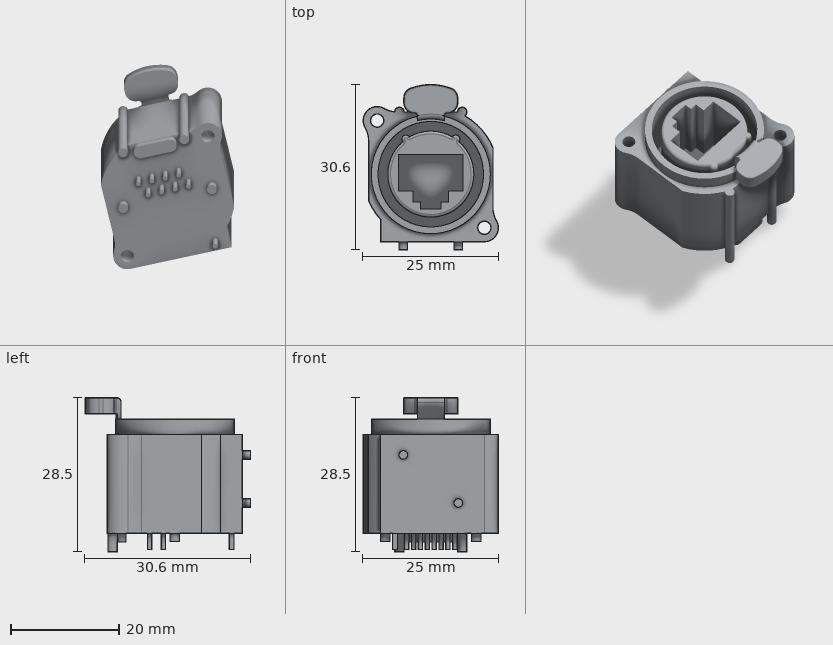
import cadquery as cq
import math


BODY_HEIGHT = 18.3
HALF_WIDTH = 11.5
BACK_Y = 11.5
FRONT_Y = -12.5
CORNER_RADIUS = 12.5
STEP_X = -9.25
EAR_RADIUS = 2.6
EAR_OFFSET = CORNER_RADIUS - EAR_RADIUS
EAR_BLEND_RADIUS = 5.0
SCREW_HOLE_DIAMETER = 2.4

COLLAR_HEIGHT = 2.8
COLLAR_RADIUS = 11.0
COLLAR_BORE_RADIUS = 9.75
COLLAR_TOP = BODY_HEIGHT + COLLAR_HEIGHT
GUIDE_RADIUS = 7.95
GUIDE_RECESS = 0.2
GUIDE_TOP = COLLAR_TOP - GUIDE_RECESS
GUIDE_EDGE_RADIUS = 0.5
GROOVE_DEPTH = 13.0
GROOVE_FLOOR = COLLAR_TOP - GROOVE_DEPTH
KEY_RADIUS = 0.75
KEY_ANGLES = (54.5, 125.5)

SOCKET_TOP_Y = 3.65
SOCKET_STEPS = ((5.94, -3.15), (3.28, -5.1), (1.91, -6.48))
SOCKET_DEPTH = 14.0

LATCH_RISE = 4.0
LATCH_TOP = COLLAR_TOP + LATCH_RISE
LATCH_THICKNESS = 3.0
LATCH_HALF_WIDTH = 5.0
LATCH_END_Y = 16.58
LATCH_END_RADIUS = 10.3
LATCH_CORNER_RADIUS = 1.97
LATCH_LOWER_CORNER_Y = 13.23
LATCH_EDGE_RADIUS = 0.2
STEM_HALF_WIDTH = 2.5
STEM_INNER_RADIUS = 10.2
STEM_OUTER_RADIUS = 10.9
STEM_BEND_RADIUS = 0.9
FILLET_MARGIN = 0.01

FRONT_PEG_DIAMETER = 1.6
FRONT_PEG_LENGTH = 1.5
FRONT_PEGS = ((-5.08, 14.5), (5.08, 5.62))
LOCATING_PEG_DIAMETER = 1.8
LOCATING_PEG_LENGTH = 1.5
LOCATING_PEG_X = 8.4
POST_DIAMETER = 1.75
POST_LENGTH = 3.4
POST_X = 5.8
POST_Y = BACK_Y
CONTACT_COUNT = 8
CONTACT_PITCH = 1.27
CONTACT_DIAMETER = 0.84
CONTACT_LENGTH = 3.0
CONTACT_ROWS_Y = (2.11, 4.65)
GROUND_PIN_DIAMETER = 0.95
GROUND_PIN_POSITION = (-6.63, -10.5)
PAD_LENGTH = 8.1
PAD_WIDTH = 2.4
PAD_HEIGHT = 1.6
PAD_Y = 10.2


def on_circle(radius, x):
    """Positive y of the circle about the mating axis at the given x."""
    return math.sqrt(radius**2 - x**2)


def point_at(center, radius, angle):
    """Point on a circle at an angle in degrees from +X."""
    turn = math.radians(angle)
    return (center[0] + radius * math.cos(turn), center[1] + radius * math.sin(turn))


def cylinder(x, y, bottom, top, diameter):
    """Upright cylinder between two heights."""
    return cq.Workplane("XY", origin=(x, y, bottom)).circle(diameter / 2).extrude(top - bottom)


def make_housing():
    """Round-cornered block with a screw ear at two opposite corners."""
    centers = EAR_RADIUS + EAR_BLEND_RADIUS
    across = HALF_WIDTH + EAR_BLEND_RADIUS - EAR_OFFSET
    blend_start = EAR_OFFSET - math.sqrt(centers**2 - across**2)
    blend_angle = math.degrees(math.asin((EAR_OFFSET - blend_start) / centers))

    ear = (-EAR_OFFSET, EAR_OFFSET)
    side_center = (-HALF_WIDTH - EAR_BLEND_RADIUS, blend_start)
    back_center = (-blend_start, BACK_Y + EAR_BLEND_RADIUS)
    side_flat = (-HALF_WIDTH, blend_start)
    side_middle = point_at(side_center, EAR_BLEND_RADIUS, blend_angle / 2)
    side_end = point_at(ear, EAR_RADIUS, 180 + blend_angle)
    ear_tip = point_at(ear, EAR_RADIUS, 135)
    back_start = point_at(ear, EAR_RADIUS, 90 - blend_angle)
    back_middle = point_at(back_center, EAR_BLEND_RADIUS, 270 - blend_angle / 2)
    back_flat = (-blend_start, BACK_Y)

    def opposite(point):
        return (-point[0], -point[1])

    corner = on_circle(CORNER_RADIUS, HALF_WIDTH)
    step_y = -on_circle(CORNER_RADIUS, STEP_X)
    left_angle = math.degrees((math.atan2(step_y, STEP_X) + math.atan2(-corner, -HALF_WIDTH)) / 2)
    outline = (
        cq.Workplane("XY")
        .moveTo(STEP_X, FRONT_Y)
        .lineTo(STEP_X, step_y)
        .threePointArc(point_at((0, 0), CORNER_RADIUS, left_angle), (-HALF_WIDTH, -corner))
        .lineTo(*side_flat)
        .threePointArc(side_middle, side_end)
        .threePointArc(ear_tip, back_start)
        .threePointArc(back_middle, back_flat)
        .lineTo(corner, BACK_Y)
        .threePointArc(point_at((0, 0), CORNER_RADIUS, 45), (HALF_WIDTH, corner))
        .lineTo(*opposite(side_flat))
        .threePointArc(opposite(side_middle), opposite(side_end))
        .threePointArc(opposite(ear_tip), (EAR_OFFSET, FRONT_Y))
        .close()
    )
    return outline.extrude(BODY_HEIGHT)


def make_screw_holes():
    """Through holes in the two ears."""
    holes = cylinder(-EAR_OFFSET, EAR_OFFSET, 0, BODY_HEIGHT, SCREW_HOLE_DIAMETER)
    return holes.union(cylinder(EAR_OFFSET, -EAR_OFFSET, 0, BODY_HEIGHT, SCREW_HOLE_DIAMETER))


def make_guide():
    """Round plug guide with two small keys and a rounded top edge."""
    guide = cylinder(0, 0, GROOVE_FLOOR, GUIDE_TOP, 2 * GUIDE_RADIUS)
    for angle in KEY_ANGLES:
        x, y = point_at((0, 0), GUIDE_RADIUS, angle)
        guide = guide.union(cylinder(x, y, GROOVE_FLOOR, GUIDE_TOP, 2 * KEY_RADIUS))
    return guide.faces(">Z").edges().fillet(GUIDE_EDGE_RADIUS)


def make_socket():
    """Stepped RJ45 opening cut down from the guide face."""
    socket = cq.Workplane("XY")
    for half_width, lower_y in SOCKET_STEPS:
        step = (
            cq.Workplane("XY", origin=(0, (SOCKET_TOP_Y + lower_y) / 2, GUIDE_TOP - SOCKET_DEPTH))
            .rect(2 * half_width, SOCKET_TOP_Y - lower_y)
            .extrude(SOCKET_DEPTH)
        )
        socket = socket.union(step)
    return socket


def make_stem_piece(outer_radius, bottom, top):
    """Curved strip between the stem's inner radius and the given outer radius."""
    inner_y = on_circle(STEM_INNER_RADIUS, STEM_HALF_WIDTH)
    outer_y = on_circle(outer_radius, STEM_HALF_WIDTH)
    return (
        cq.Workplane("XY", origin=(0, 0, bottom))
        .moveTo(STEM_HALF_WIDTH, inner_y)
        .lineTo(STEM_HALF_WIDTH, outer_y)
        .threePointArc((0, outer_radius), (-STEM_HALF_WIDTH, outer_y))
        .lineTo(-STEM_HALF_WIDTH, inner_y)
        .threePointArc((0, STEM_INNER_RADIUS), (STEM_HALF_WIDTH, inner_y))
        .close()
        .extrude(top - bottom)
    )


def make_latch():
    """Oval push tab carried by a curved stem standing on the collar."""
    corner_x = LATCH_HALF_WIDTH - LATCH_CORNER_RADIUS
    end_center_y = LATCH_END_Y - LATCH_END_RADIUS
    upper_corner_y = end_center_y + on_circle(LATCH_END_RADIUS - LATCH_CORNER_RADIUS, corner_x)
    touch_angle = math.degrees(math.atan2(upper_corner_y - end_center_y, corner_x))
    touch_x, touch_y = point_at((corner_x, upper_corner_y), LATCH_CORNER_RADIUS, touch_angle)
    upper_x, upper_y = point_at((corner_x, upper_corner_y), LATCH_CORNER_RADIUS, touch_angle / 2)
    lower_x, lower_y = point_at((corner_x, LATCH_LOWER_CORNER_Y), LATCH_CORNER_RADIUS, -45)
    shoulder_y = LATCH_LOWER_CORNER_Y - LATCH_CORNER_RADIUS
    bend_end_radius = STEM_INNER_RADIUS + STEM_BEND_RADIUS
    neck_y = on_circle(bend_end_radius, STEM_HALF_WIDTH)
    neck_radius = shoulder_y - neck_y
    neck_x, neck_middle_y = point_at((STEM_HALF_WIDTH + neck_radius, neck_y), neck_radius, 135)

    tab = (
        cq.Workplane("XY", origin=(0, 0, LATCH_TOP - LATCH_THICKNESS))
        .moveTo(STEM_HALF_WIDTH, neck_y)
        .threePointArc((neck_x, neck_middle_y), (STEM_HALF_WIDTH + neck_radius, shoulder_y))
        .lineTo(corner_x, shoulder_y)
        .threePointArc((lower_x, lower_y), (LATCH_HALF_WIDTH, LATCH_LOWER_CORNER_Y))
        .lineTo(LATCH_HALF_WIDTH, upper_corner_y)
        .threePointArc((upper_x, upper_y), (touch_x, touch_y))
        .threePointArc((0, LATCH_END_Y), (-touch_x, touch_y))
        .threePointArc((-upper_x, upper_y), (-LATCH_HALF_WIDTH, upper_corner_y))
        .lineTo(-LATCH_HALF_WIDTH, LATCH_LOWER_CORNER_Y)
        .threePointArc((-lower_x, lower_y), (-corner_x, shoulder_y))
        .lineTo(-STEM_HALF_WIDTH - neck_radius, shoulder_y)
        .threePointArc((-neck_x, neck_middle_y), (-STEM_HALF_WIDTH, neck_y))
        .threePointArc((0, bend_end_radius), (STEM_HALF_WIDTH, neck_y))
        .close()
        .extrude(LATCH_THICKNESS)
    )
    tab = tab.faces(">Z").edges("not <Y").fillet(LATCH_EDGE_RADIUS)

    bend = make_stem_piece(bend_end_radius, LATCH_TOP - LATCH_THICKNESS, LATCH_TOP)
    bend = bend.faces(">Z").edges("<Y").fillet(STEM_BEND_RADIUS - FILLET_MARGIN)
    stem = make_stem_piece(STEM_OUTER_RADIUS, COLLAR_TOP, LATCH_TOP - LATCH_THICKNESS)
    return tab.union(bend).union(stem)


def make_pins():
    """Contacts and pegs on the housing; the two rear posts run up its full height."""
    pins = cylinder(*GROUND_PIN_POSITION, -CONTACT_LENGTH, 0, GROUND_PIN_DIAMETER)
    for number in range(CONTACT_COUNT):
        x = (number - (CONTACT_COUNT - 1) / 2) * CONTACT_PITCH
        y = CONTACT_ROWS_Y[number % 2]
        pins = pins.union(cylinder(x, y, -CONTACT_LENGTH, 0, CONTACT_DIAMETER))
    for side in (-1, 1):
        pins = pins.union(cylinder(side * POST_X, POST_Y, -POST_LENGTH, BODY_HEIGHT, POST_DIAMETER))
        pins = pins.union(
            cylinder(side * LOCATING_PEG_X, 0, -LOCATING_PEG_LENGTH, 0, LOCATING_PEG_DIAMETER)
        )
    for x, z in FRONT_PEGS:
        peg = (
            cq.Workplane("XZ", origin=(x, FRONT_Y, z))
            .circle(FRONT_PEG_DIAMETER / 2)
            .extrude(FRONT_PEG_LENGTH)
        )
        pins = pins.union(peg)
    pad = (
        cq.Workplane("XY", origin=(0, PAD_Y, -PAD_HEIGHT))
        .slot2D(PAD_LENGTH, PAD_WIDTH)
        .extrude(PAD_HEIGHT)
    )
    return pins.union(pad)


result = make_housing().cut(make_screw_holes())
result = result.union(cylinder(0, 0, BODY_HEIGHT, COLLAR_TOP, 2 * COLLAR_RADIUS))
result = result.cut(cylinder(0, 0, GROOVE_FLOOR, COLLAR_TOP, 2 * COLLAR_BORE_RADIUS))
result = result.union(make_guide()).cut(make_socket())
result = result.union(make_pins()).union(make_latch())